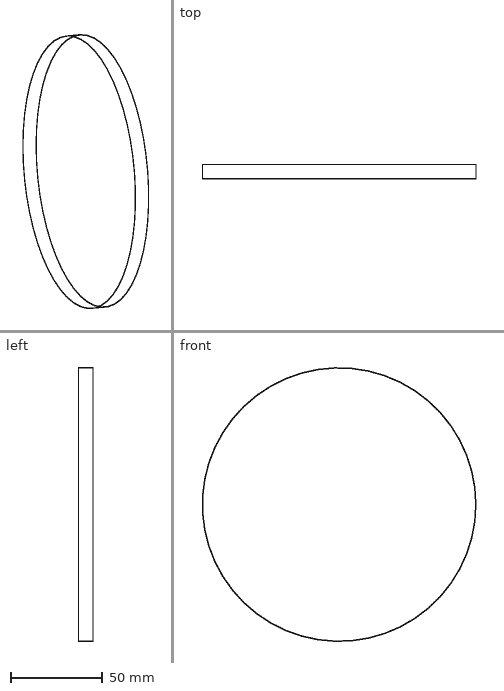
import cadquery as cq

outer_diameter = 150.38
wall_thickness = 0.25
band_width = 8.0

inner_diameter = outer_diameter - 2 * wall_thickness

result = (
    cq.Workplane("XZ", origin=(0, band_width / 2, 0))
    .circle(outer_diameter / 2)
    .circle(inner_diameter / 2)
    .extrude(band_width)
)